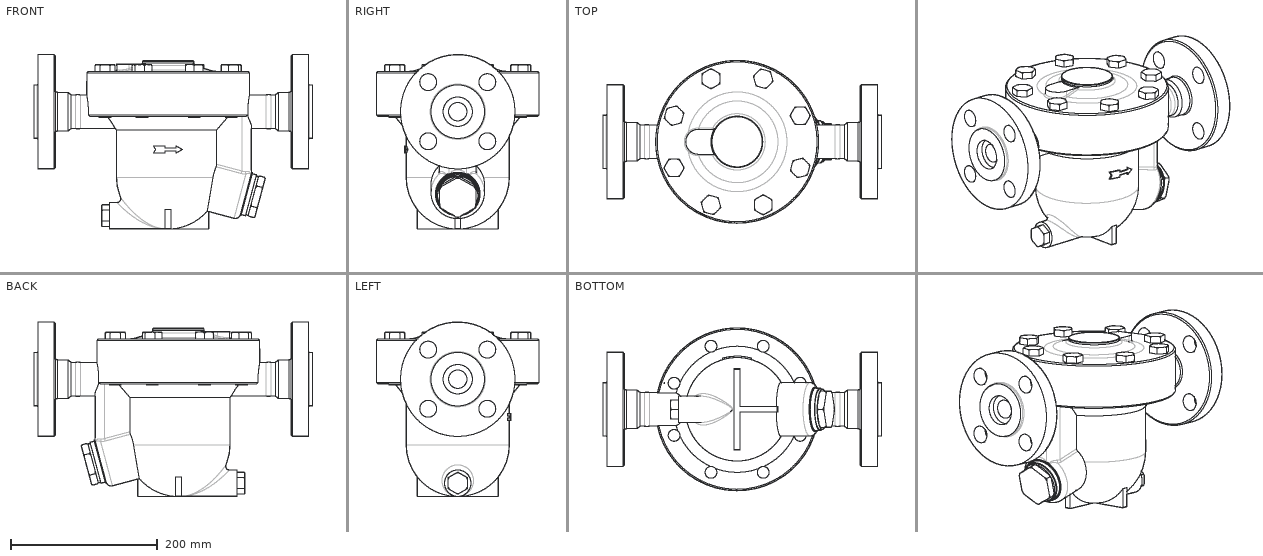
import cadquery as cq
import math


inlet_face_x = -183.0
outlet_face_x = 197.0
bottom_z = -160.0

body_radius = 70.5
bowl_center_z = bottom_z + body_radius
rim_radius = 111.0
rim_bottom_z = -6.2
joint_z = 27.0
rim_top_z = 55.0
rim_chamfer = 2.0
neck_top_radius = 86.0
neck_bottom_z = -25.0
dome_foot_radius = 68.0
dome_slope_radius = 55.7
dome_slope_z = 57.0
dome_top_radius = 38.4
dome_top_z = 63.0
cap_radius = 35.0
cap_foot_z = 66.5
cap_top_z = 69.5
cap_chamfer = 0.8

tab_center_x = -53.0
tab_radius = 17.0
tab_top_z = 65.0
tab_foot_fillet = 2.0

bolt_count = 8
bolt_circle_radius = 93.0
bolt_head_flats = 24.0
bolt_head_height = 9.0
bolt_head_chamfer = 1.0
bolt_diameter = 16.0
bolt_protrusion = 2.0

flange_diameter = 156.0
flange_thickness = 24.0
flange_back_chamfer = 2.0
raised_face_diameter = 73.0
raised_face_height = 5.5
raised_face_fillet = 1.2
hub_root_radius = 27.5
hub_radius = 26.4
hub_root_length = 3.0
hub_length = 17.0
hub_taper_length = 4.5
pipe_radius = 23.0
weld_radius = 23.6
weld_offset = 30.5
weld_width = 7.0
socket_diameter = 40.0
socket_depth = 9.0
bore_diameter = 25.0
bore_depth = 60.0
flange_hole_count = 4
flange_hole_diameter = 23.0
flange_hole_circle_radius = 57.0

drain_radius = 18.0
drain_clearance = 0.3
drain_z = bottom_z + drain_radius + drain_clearance
drain_face_x = -80.0
drain_fillet = 5.0
drain_head_flats = 26.0
drain_head_height = 10.5
drain_head_chamfer = 1.0

seat_tilt = 15.0
seat_face_x = 106.0
seat_face_z = -112.0
seat_radius = 36.5
seat_length = 75.0
seat_fillet = 7.0
gasket_radius = 29.0
gasket_height = 7.2
spot_face_radius = 30.5
spot_face_height = 1.2
collar_radius = 27.5
collar_height = 10.5
seat_head_flats = 49.5
seat_head_height = 9.6
seat_head_chamfer = 1.5

column_end_x = 113.5
column_half_width = 25.0
column_corner_radius = 13.0
column_foot_fillet = 5.0

foot_reach = 55.5
foot_thickness = 8.0
foot_top_z = -133.0
foot_chamfer = 1.0

arrow_tail_x = -20.0
arrow_tip_x = 19.5
arrow_head_length = 9.0
arrow_z = -51.5
arrow_head_half_height = 5.0
arrow_notch_depth = 3.0
arrow_shaft_half_height = 2.2
arrow_tail_length = 16.0
arrow_height = 2.0


def hex_head(flats, height, chamfer, chamfered_ends=">Z"):
    """Hexagon head standing on Z = 0, corners on local X, with turned end edges."""
    corners = 2 * flats / math.sqrt(3)
    head = cq.Workplane("XY").polygon(6, corners).extrude(height)
    turned = cq.Workplane("XY").circle(corners / 2).extrude(height).faces(chamfered_ends).chamfer(chamfer)
    return head.intersect(turned)


def make_body():
    """Body with its rim, and the cover, as two turned solids."""
    arc_point = (
        body_radius * math.cos(math.pi / 4),
        bowl_center_z - body_radius * math.sin(math.pi / 4),
    )
    lower = (
        cq.Workplane("XZ")
        .moveTo(0, bottom_z)
        .threePointArc(arc_point, (body_radius, bowl_center_z))
        .lineTo(body_radius, neck_bottom_z)
        .lineTo(neck_top_radius, rim_bottom_z)
        .lineTo(rim_radius - rim_chamfer, rim_bottom_z)
        .lineTo(rim_radius, rim_bottom_z + rim_chamfer)
        .lineTo(rim_radius, joint_z)
        .lineTo(0, joint_z)
        .close()
        .revolve(360, (0, 0), (0, 1))
    )
    cover = (
        cq.Workplane("XZ")
        .moveTo(0, joint_z)
        .lineTo(rim_radius, joint_z)
        .lineTo(rim_radius, rim_top_z - rim_chamfer)
        .lineTo(rim_radius - rim_chamfer, rim_top_z)
        .lineTo(dome_foot_radius, rim_top_z)
        .tangentArcPoint((dome_slope_radius, dome_slope_z), relative=False)
        .lineTo(dome_top_radius, dome_top_z)
        .tangentArcPoint((cap_radius, cap_foot_z), relative=False)
        .lineTo(cap_radius, cap_top_z - cap_chamfer)
        .lineTo(cap_radius - cap_chamfer, cap_top_z)
        .lineTo(0, cap_top_z)
        .close()
        .revolve(360, (0, 0), (0, 1))
    )
    return lower, cover


def add_tab(cover):
    """Round-ended tab running from the cap towards the inlet."""
    height = tab_top_z - rim_top_z
    end = cq.Workplane("XY", origin=(tab_center_x, 0, rim_top_z)).circle(tab_radius).extrude(height)
    bar = (
        cq.Workplane("XY", origin=(tab_center_x / 2, 0, rim_top_z))
        .rect(-tab_center_x, 2 * tab_radius)
        .extrude(height)
    )
    foot = cq.selectors.BoxSelector(
        (tab_center_x - 1.2 * tab_radius, -1.2 * tab_radius, rim_top_z - 1),
        (-dome_top_radius, 1.2 * tab_radius, tab_top_z - 1),
    )
    return cover.union(end).union(bar).edges(foot).fillet(tab_foot_fillet)


def make_bolts():
    """Cover bolts: hexagon heads on top, shank ends below the rim."""
    pitch = 360 / bolt_count
    end_z = rim_bottom_z - bolt_protrusion
    head = hex_head(bolt_head_flats, bolt_head_height, bolt_head_chamfer)
    head = head.rotate((0, 0, 0), (0, 0, 1), -pitch / 2).translate((0, 0, rim_top_z))
    shank = (
        cq.Workplane("XY", origin=(0, 0, end_z))
        .circle(bolt_diameter / 2)
        .extrude(rim_top_z - end_z)
    )
    bolt = head.union(shank).translate((bolt_circle_radius, 0, 0))
    bolts = cq.Workplane("XY")
    for i in range(bolt_count):
        bolts = bolts.add(bolt.rotate((0, 0, 0), (0, 0, 1), (i + 0.5) * pitch))
    return bolts


def make_pipe_end(length):
    """Flange, hub and pipe along +X, with the raised face at X = 0."""
    back = raised_face_height + flange_thickness
    hub_end = back + hub_length
    flange_radius = flange_diameter / 2
    raised_face_radius = raised_face_diameter / 2
    weld_center = back + weld_offset
    weld_start = weld_center - weld_width / 2
    weld_end = weld_center + weld_width / 2
    turned = (
        cq.Workplane("XY")
        .moveTo(0, 0)
        .lineTo(0, raised_face_radius)
        .lineTo(raised_face_height - raised_face_fillet, raised_face_radius)
        .radiusArc((raised_face_height, raised_face_radius + raised_face_fillet), -raised_face_fillet)
        .lineTo(raised_face_height, flange_radius)
        .lineTo(back - flange_back_chamfer, flange_radius)
        .lineTo(back, flange_radius - flange_back_chamfer)
        .lineTo(back, hub_root_radius)
        .lineTo(back + hub_root_length, hub_radius)
        .lineTo(hub_end, hub_radius)
        .lineTo(hub_end + hub_taper_length, pipe_radius)
        .lineTo(weld_start, pipe_radius)
        .threePointArc((weld_center, weld_radius), (weld_end, pipe_radius))
        .lineTo(length, pipe_radius)
        .lineTo(length, 0)
        .close()
        .revolve(360, (0, 0), (1, 0))
    )
    holes = (
        cq.Workplane("YZ")
        .polarArray(flange_hole_circle_radius, 45, 360, flange_hole_count)
        .circle(flange_hole_diameter / 2)
        .extrude(back)
    )
    return turned.cut(holes)


def make_bores():
    """Socket and bore entering along +X from X = 0."""
    socket = cq.Workplane("YZ").circle(socket_diameter / 2).extrude(socket_depth)
    bore = cq.Workplane("YZ").circle(bore_diameter / 2).extrude(bore_depth)
    return socket.union(bore)


def as_inlet(shape):
    return shape.translate((inlet_face_x, 0, 0))


def as_outlet(shape):
    return shape.mirror("YZ").translate((outlet_face_x, 0, 0))


def add_drain_boss(body):
    """Drain boss blended into the bowl."""
    boss = (
        cq.Workplane("YZ", origin=(drain_face_x, 0, drain_z))
        .circle(drain_radius)
        .extrude(-drain_face_x)
    )
    root = cq.selectors.BoxSelector(
        (-body_radius, -body_radius, bottom_z),
        (0, body_radius, bowl_center_z),
    )
    return body.union(boss).edges(root).fillet(drain_fillet)


def make_drain_plug():
    """Hexagon plug with a corner up, facing -X."""
    head = hex_head(drain_head_flats, drain_head_height, drain_head_chamfer)
    return head.rotate((0, 0, 0), (0, 1, 0), -90).translate((drain_face_x, 0, drain_z))


def place_on_seat(shape):
    """Turn local +Z onto the seat axis and move the origin to the boss face."""
    tilted = shape.rotate((0, 0, 0), (0, 1, 0), 90 + seat_tilt)
    return tilted.translate((seat_face_x, 0, seat_face_z))


def make_seat_boss():
    boss = cq.Workplane("XY").circle(seat_radius).extrude(-seat_length)
    return place_on_seat(boss.faces(">Z").edges().fillet(seat_fillet))


def make_seat_plug():
    spot_face = cq.Workplane("XY").circle(spot_face_radius).extrude(spot_face_height)
    gasket = cq.Workplane("XY").circle(gasket_radius).extrude(gasket_height)
    collar = cq.Workplane("XY").circle(collar_radius).extrude(collar_height)
    head = hex_head(seat_head_flats, seat_head_height, seat_head_chamfer, "<Z or >Z")
    head = head.translate((0, 0, collar_height))
    return place_on_seat(spot_face.union(gasket).union(collar).union(head))


def make_outlet_passage():
    """Seat boss with the upright column that joins it to the outlet pipe."""
    end_rise = (column_end_x - seat_face_x) / math.tan(math.radians(seat_tilt))
    column = (
        cq.Workplane("XZ")
        .moveTo(0, 0)
        .lineTo(column_end_x, 0)
        .lineTo(column_end_x, seat_face_z + end_rise)
        .lineTo(seat_face_x, seat_face_z)
        .lineTo(0, seat_face_z)
        .close()
        .extrude(column_half_width, both=True)
        .edges("|Z and >X")
        .fillet(column_corner_radius)
    )
    passage = column.union(make_seat_boss())
    boss_top_z = seat_face_z + seat_radius
    column_foot = cq.selectors.BoxSelector(
        (seat_face_x / 2, -rim_radius, seat_face_z + seat_radius / 2),
        (seat_face_x, rim_radius, boss_top_z + seat_fillet),
    )
    return passage.edges(column_foot).fillet(column_foot_fillet)


def make_feet():
    """Three upright plates under the bowl, pointing to -Y, +Y and +X."""
    height = foot_top_z - bottom_z
    base = cq.Workplane("XY", origin=(0, 0, bottom_z))
    cross_foot = base.rect(foot_thickness, 2 * foot_reach).extrude(height)
    cross_foot = cross_foot.faces("<Z").edges("|X").chamfer(foot_chamfer)
    side_foot = base.center(foot_reach / 2, 0).rect(foot_reach, foot_thickness).extrude(height)
    side_foot = side_foot.faces("<Z").edges(">X").chamfer(foot_chamfer)
    return cross_foot.union(side_foot)


def make_arrow():
    """Raised flow arrow pointing from inlet to outlet."""
    neck_x = arrow_tip_x - arrow_head_length
    tail_end_x = arrow_tail_x + arrow_tail_length
    upper = [
        (arrow_tail_x + arrow_notch_depth, 0),
        (arrow_tail_x, arrow_head_half_height),
        (tail_end_x, arrow_head_half_height),
        (tail_end_x, arrow_shaft_half_height),
        (neck_x, arrow_shaft_half_height),
        (neck_x, arrow_head_half_height),
        (arrow_tip_x, 0),
    ]
    lower = [(x, -z) for x, z in reversed(upper[1:-1])]
    plate = (
        cq.Workplane("XZ", origin=(0, 0, arrow_z))
        .polyline(upper + lower)
        .close()
        .extrude(rim_radius)
    )
    skin = (
        cq.Workplane("XY", origin=(0, 0, arrow_z - arrow_head_half_height))
        .circle(body_radius + arrow_height)
        .extrude(2 * arrow_head_half_height)
    )
    return plate.intersect(skin)


lower, cover = make_body()
result = add_drain_boss(lower)
result = result.union(make_feet()).union(make_outlet_passage())
result = result.union(make_seat_plug()).union(make_drain_plug()).union(make_arrow())
result = result.union(as_inlet(make_pipe_end(-inlet_face_x)))
result = result.union(as_outlet(make_pipe_end(outlet_face_x)))
result = result.union(add_tab(cover))
for bolt in make_bolts().vals():
    result = result.union(cq.Workplane(bolt))
result = result.cut(as_inlet(make_bores())).cut(as_outlet(make_bores()))